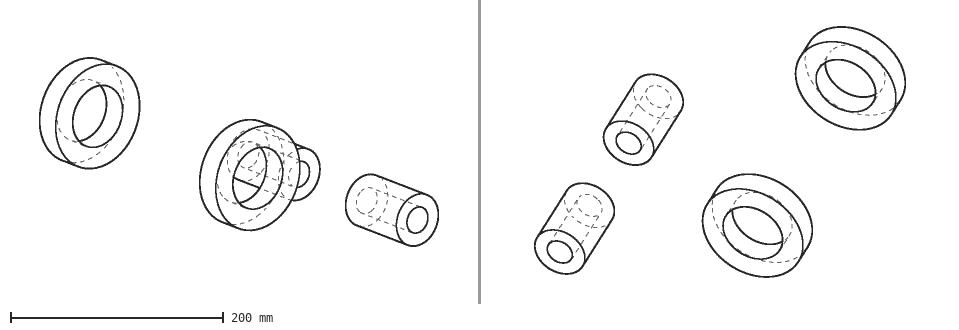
import cadquery as cq

overall_width = 264.3
overall_depth = 272.8
overall_height = 159.0

ring_diameter = 101.5
ring_bore = 60.0
ring_width = 24.3

sleeve_diameter = 50.7
sleeve_bore = 25.5
sleeve_length = 76.5
sleeve_inset = 5.2

mean_diameter = (ring_diameter + sleeve_diameter) / 2
sleeve_y = overall_depth - mean_diameter
sleeve_z = mean_diameter - overall_height

ring_x = (overall_width - ring_width) / 2
sleeve_x = (overall_width - sleeve_length) / 2 - sleeve_inset


def tube(outer_diameter, bore_diameter, length, center):
    """Tube along X with a through bore, centred on the given point."""
    return (
        cq.Workplane("YZ", origin=(-length / 2, 0, 0))
        .circle(outer_diameter / 2)
        .circle(bore_diameter / 2)
        .extrude(length)
        .translate(center)
    )


def ring(x):
    return tube(ring_diameter, ring_bore, ring_width, (x, 0, 0))


def sleeve(x):
    return tube(sleeve_diameter, sleeve_bore, sleeve_length, (x, sleeve_y, sleeve_z))


rings = [ring(side * ring_x) for side in (-1, 1)]
sleeves = [sleeve(side * sleeve_x) for side in (-1, 1)]

result = cq.Compound.makeCompound([body.val() for body in rings + sleeves])